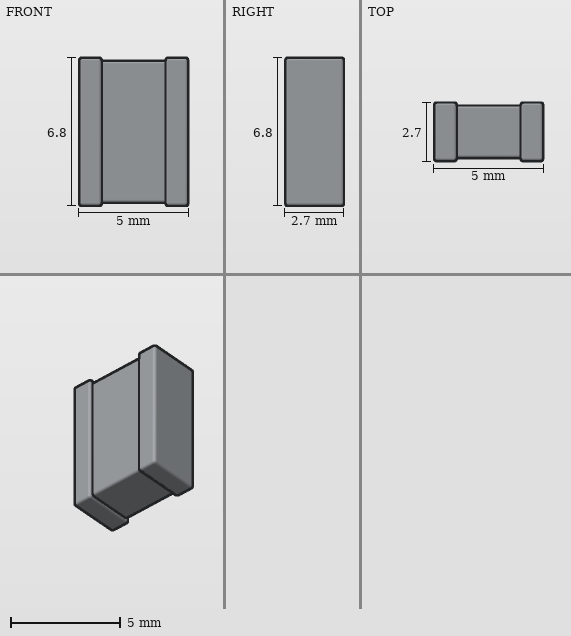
import cadquery as cq

LENGTH_X = 5.0
DEPTH_Y = 2.7
HEIGHT_Z = 6.8

TERMINAL_WIDTH = 1.05
TERMINAL_STEP = 0.14
EDGE_RADIUS = 0.14

BODY_LENGTH = LENGTH_X - 2 * TERMINAL_WIDTH
BODY_DEPTH = DEPTH_Y - 2 * TERMINAL_STEP
BODY_HEIGHT = HEIGHT_Z - 2 * TERMINAL_STEP
TERMINAL_OFFSET = (LENGTH_X - TERMINAL_WIDTH) / 2


def make_body():
    """Block between the terminals, rounded along its four X edges."""
    return cq.Workplane("XY").box(BODY_LENGTH, BODY_DEPTH, BODY_HEIGHT).edges("|X").fillet(EDGE_RADIUS)


def make_terminal(center_x):
    """End cap rounded on every edge."""
    cap = cq.Workplane("XY").box(TERMINAL_WIDTH, DEPTH_Y, HEIGHT_Z).edges().fillet(EDGE_RADIUS)
    return cap.translate((center_x, 0, 0))


body = make_body()
terminals = [make_terminal(side * TERMINAL_OFFSET) for side in (-1, 1)]

result = cq.Compound.makeCompound([body.val(), *[terminal.val() for terminal in terminals]])